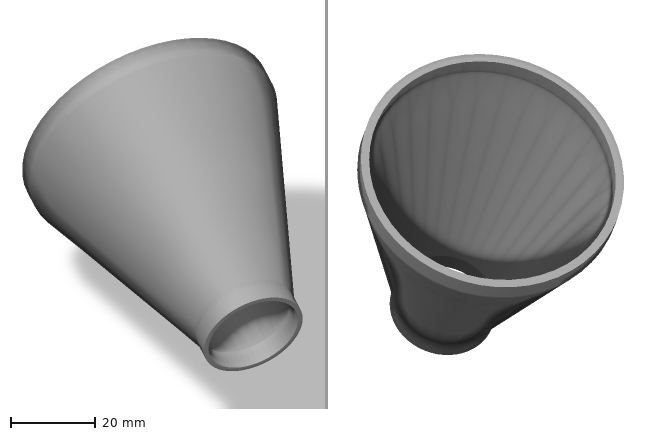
import cadquery as cq

length = 67.0
large_diameter = 63.5
large_bore = 59.5
small_diameter = 25.4
small_bore = 23.0
collar_length = 5.1
blend_radius = 2.15


def reducer_body(start_diameter, end_diameter):
    """Solid of revolution about X: collar, cone, collar."""
    start_radius = start_diameter / 2
    end_radius = end_diameter / 2
    profile = (
        cq.Workplane("XY")
        .moveTo(0, 0)
        .lineTo(0, start_radius)
        .lineTo(collar_length, start_radius)
        .lineTo(length - collar_length, end_radius)
        .lineTo(length, end_radius)
        .lineTo(length, 0)
        .close()
    )
    return profile.revolve(360, (0, 0, 0), (1, 0, 0))


def collar_corners(body):
    """Circular edges where the collars meet the cone."""
    margin = collar_length / 2
    between_ends = cq.selectors.BoxSelector(
        (margin, -length, -length), (length - margin, length, length)
    )
    return body.edges("%CIRCLE").edges(between_ends)


outer = collar_corners(reducer_body(large_diameter, small_diameter)).fillet(blend_radius)
bore = reducer_body(large_bore, small_bore)

result = outer.cut(bore)